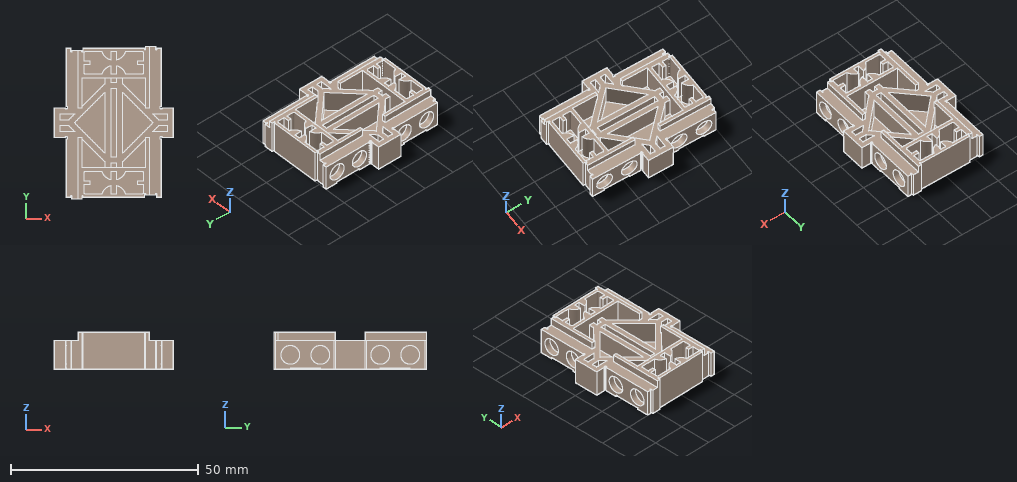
import cadquery as cq

TOTAL_HEIGHT = 10.0
BASE_HEIGHT = 7.8

WEB = 1.6
THIN_WALL = 1.0
FLOOR = WEB

BODY_HALF_X = 12.7
BODY_HALF_Y = 19.9
ARM_HALF_X = 15.9
RAIL_HALF_X = 9.5

ARM_POCKET_WIDTH = 1.6
ARM_POCKET_OUTER_X = ARM_HALF_X - WEB
ARM_POCKET_NEAR_Y = WEB / 2
ARM_POCKET_FAR_Y = ARM_POCKET_NEAR_Y + ARM_POCKET_WIDTH
ARM_HALF_Y = ARM_POCKET_FAR_Y + WEB

JOINT_X = 9.85
TONGUE_WIDTH = 2.8
TONGUE_LENGTH = 0.5
GROOVE_WIDTH = 3.2
GROOVE_DEPTH = 0.6
TONGUE_RELIEF_WIDTH = 0.2
TONGUE_RELIEF_DEPTH = 0.4
GROOVE_RELIEF_WIDTH = 0.25
GROOVE_RELIEF_DEPTH = 1.0

CORNER_RELIEF_SIZE = 0.5
CORNER_RELIEF_OVERRUN = 0.2

POCKET_Y = 16.0
POCKET_HALF_X = 8.0
POCKET_HALF_Y = 3.0
POCKET_CORNER_RADIUS = 0.4
POST_RADIUS = 3.3
POST_OFFSET = 4.0
SIDE_RIB_LENGTH = 1.65
SIDE_RIB_WIDTH = THIN_WALL

RECESS_HALF_X = RAIL_HALF_X - THIN_WALL
RECESS_END_Y = POCKET_Y - POCKET_HALF_Y - THIN_WALL
SLOT_WIDTH = 1.6
STEM_HALF_X = SLOT_WIDTH / 2 + WEB
CENTRE_SLOT_HALF_Y = 9.2
END_SLOT_START_Y = CENTRE_SLOT_HALF_Y + WEB
DIAMOND_INNER_REACH = 10.5
DIAMOND_OUTER_REACH = 12.8

HOLE_DIAMETER = 5.0
HOLE_DEPTH = 1.9
HOLE_Z = 3.9
HOLE_SPACING = 8.0
NOTCH_HEIGHT = 0.4
NOTCH_DEPTH = 1.6

SIGNS = (1, -1)


def block(x0, x1, y0, y1, z0=0.0, z1=TOTAL_HEIGHT):
    """Axis-aligned block between two opposite corners."""
    size = (abs(x1 - x0), abs(y1 - y0), z1 - z0)
    corner = (min(x0, x1), min(y0, y1), z0)
    return cq.Workplane("XY").box(*size, centered=False).translate(corner)


def prism(points, z0=FLOOR):
    """Straight prism over a closed outline, from z0 to the top."""
    outline = cq.Workplane("XY").workplane(offset=z0).polyline(points).close()
    return outline.extrude(TOTAL_HEIGHT - z0)


def make_body():
    """Plain body with cross arms and the raised end blocks."""
    body = block(-BODY_HALF_X, BODY_HALF_X, -BODY_HALF_Y, BODY_HALF_Y, z1=BASE_HEIGHT)
    body = body.union(block(-ARM_HALF_X, ARM_HALF_X, -ARM_HALF_Y, ARM_HALF_Y, z1=BASE_HEIGHT))
    for sy in SIGNS:
        body = body.union(block(-RAIL_HALF_X, RAIL_HALF_X, sy * ARM_HALF_Y, sy * BODY_HALF_Y))
    return body


def add_tongue(body):
    """Tongue on the +Y end: raised as far out as the rail, low beyond it."""
    inner_x = JOINT_X - TONGUE_WIDTH / 2
    outer_x = JOINT_X + TONGUE_WIDTH / 2
    tip_y = BODY_HALF_Y + TONGUE_LENGTH
    relief_y = BODY_HALF_Y - TONGUE_RELIEF_DEPTH
    body = body.union(block(inner_x, outer_x, BODY_HALF_Y, tip_y, z1=BASE_HEIGHT))
    body = body.union(block(inner_x, RAIL_HALF_X, BODY_HALF_Y, tip_y))
    body = body.cut(block(inner_x - TONGUE_RELIEF_WIDTH, inner_x, relief_y, BODY_HALF_Y))
    return body.cut(block(outer_x, outer_x + TONGUE_RELIEF_WIDTH, relief_y, BODY_HALF_Y))


def cut_groove(body):
    """Groove in the +Y end, cut deeper along its two side walls."""
    outer_x = -JOINT_X - GROOVE_WIDTH / 2
    inner_x = -JOINT_X + GROOVE_WIDTH / 2
    relief_y = BODY_HALF_Y - GROOVE_RELIEF_DEPTH
    body = body.cut(block(outer_x, inner_x, BODY_HALF_Y - GROOVE_DEPTH, BODY_HALF_Y))
    body = body.cut(block(outer_x, outer_x + GROOVE_RELIEF_WIDTH, relief_y, BODY_HALF_Y))
    return body.cut(block(inner_x - GROOVE_RELIEF_WIDTH, inner_x, relief_y, BODY_HALF_Y))


def add_end_joints(body):
    """Tongue and groove at both Y ends, alike under a half turn about Z."""
    for _ in range(2):
        body = cut_groove(add_tongue(body))
        body = body.rotate((0, 0, 0), (0, 0, 1), 180)
    return body


def cut_corner_reliefs(body):
    """Small square reliefs where the arms meet the body sides."""
    outer_x = BODY_HALF_X + CORNER_RELIEF_OVERRUN
    inner_x = outer_x - CORNER_RELIEF_SIZE
    near_y = ARM_HALF_Y - CORNER_RELIEF_OVERRUN
    far_y = near_y + CORNER_RELIEF_SIZE
    for sx in SIGNS:
        for sy in SIGNS:
            body = body.cut(block(sx * inner_x, sx * outer_x, sy * near_y, sy * far_y, z1=BASE_HEIGHT))
    return body


def make_end_pocket():
    """Void of one end pocket, centred on the Z axis."""
    depth = TOTAL_HEIGHT - FLOOR
    base = cq.Workplane("XY").workplane(offset=FLOOR)
    void = base.rect(2 * POCKET_HALF_X, 2 * POCKET_HALF_Y).extrude(depth)
    void = void.edges("|Z").fillet(POCKET_CORNER_RADIUS)
    rib_half = SIDE_RIB_WIDTH / 2
    for s in SIGNS:
        void = void.cut(base.center(0, s * POST_OFFSET).circle(POST_RADIUS).extrude(depth))
        rib_tip = s * (POCKET_HALF_X - SIDE_RIB_LENGTH)
        void = void.cut(block(rib_tip, s * POCKET_HALF_X, -rib_half, rib_half))
    post_split = base.rect(SLOT_WIDTH, 2 * POCKET_HALF_Y).extrude(depth)
    return void.union(post_split)


def cut_end_pockets(body):
    """The same pocket in both raised ends."""
    pocket = make_end_pocket()
    for sy in SIGNS:
        body = body.cut(pocket.translate((0, sy * POCKET_Y, 0)))
    return body


def cut_lattice(body):
    """Recess between the rails, and the openings around stem and diamond."""
    half_slot = SLOT_WIDTH / 2
    body = body.cut(block(-half_slot, half_slot, -CENTRE_SLOT_HALF_Y, CENTRE_SLOT_HALF_Y, FLOOR))
    inner_y = DIAMOND_INNER_REACH - STEM_HALF_X
    outer_y = DIAMOND_OUTER_REACH - STEM_HALF_X
    rail_y = DIAMOND_OUTER_REACH - RECESS_HALF_X
    for s in SIGNS:
        recess_ends = (s * ARM_HALF_Y, s * RECESS_END_Y)
        body = body.cut(block(-RECESS_HALF_X, RECESS_HALF_X, *recess_ends, BASE_HEIGHT))
        body = body.cut(block(-half_slot, half_slot, s * END_SLOT_START_Y, s * RECESS_END_Y, FLOOR))
        stem_x = s * STEM_HALF_X
        body = body.cut(prism([(stem_x, inner_y), (s * DIAMOND_INNER_REACH, 0), (stem_x, -inner_y)]))
        for sy in SIGNS:
            body = body.cut(prism([
                (stem_x, sy * RECESS_END_Y),
                (stem_x, sy * outer_y),
                (s * RECESS_HALF_X, sy * rail_y),
                (s * RECESS_HALF_X, sy * RECESS_END_Y),
            ]))
    return body


def cut_arm_pockets(body):
    """Two pockets in each arm, slanted parallel to the diamond."""
    near_x = DIAMOND_OUTER_REACH - ARM_POCKET_NEAR_Y
    far_x = DIAMOND_OUTER_REACH - ARM_POCKET_FAR_Y
    for sx in SIGNS:
        for sy in SIGNS:
            body = body.cut(prism([
                (sx * ARM_POCKET_OUTER_X, sy * ARM_POCKET_NEAR_Y),
                (sx * near_x, sy * ARM_POCKET_NEAR_Y),
                (sx * far_x, sy * ARM_POCKET_FAR_Y),
                (sx * ARM_POCKET_OUTER_X, sy * ARM_POCKET_FAR_Y),
            ]))
    return body


def cut_side_features(body):
    """Blind holes in both long sides, with a bottom notch under each pair."""
    hole = cq.Workplane("YZ").circle(HOLE_DIAMETER / 2).extrude(HOLE_DEPTH)
    near_y = HOLE_SPACING
    far_y = 2 * HOLE_SPACING
    for sx in SIGNS:
        hole_start = BODY_HALF_X - HOLE_DEPTH if sx > 0 else -BODY_HALF_X
        notch_x = sx * (BODY_HALF_X - NOTCH_DEPTH)
        for sy in SIGNS:
            for hole_y in (near_y, far_y):
                body = body.cut(hole.translate((hole_start, sy * hole_y, HOLE_Z)))
            body = body.cut(block(notch_x, sx * BODY_HALF_X, sy * near_y, sy * far_y, z1=NOTCH_HEIGHT))
    return body


result = make_body()
result = add_end_joints(result)
result = cut_corner_reliefs(result)
result = cut_end_pockets(result)
result = cut_lattice(result)
result = cut_arm_pockets(result)
result = cut_side_features(result)